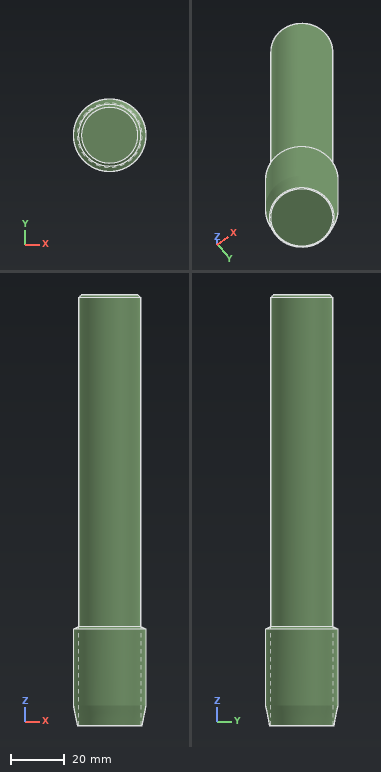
import cadquery as cq

total_length = 160.0
shaft_radius = 11.5
shaft_chamfer = 1.1

sleeve_radius = 13.52
sleeve_length = 36.8
shoulder_height = 1.0
lead_in_height = 7.5
tip_radius = 12.0


def make_shaft():
    """Straight round shaft with a chamfered top edge."""
    shaft = cq.Workplane("XY").circle(shaft_radius).extrude(total_length)
    return shaft.faces(">Z").edges().chamfer(shaft_chamfer)


def make_sleeve():
    """Bored sleeve with a tapered lead-in below and a conical shoulder above."""
    profile = (
        cq.Workplane("XZ")
        .moveTo(shaft_radius, 0)
        .lineTo(tip_radius, 0)
        .lineTo(sleeve_radius, lead_in_height)
        .lineTo(sleeve_radius, sleeve_length - shoulder_height)
        .lineTo(shaft_radius, sleeve_length)
        .close()
    )
    return profile.revolve(360, (0, 0, 0), (0, 1, 0))


shaft = make_shaft()
sleeve = make_sleeve()

result = cq.Compound.makeCompound([shaft.val(), sleeve.val()])